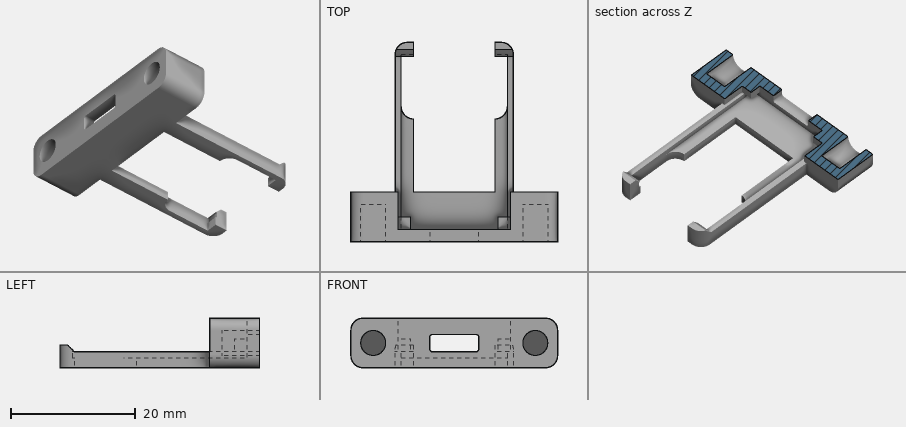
import cadquery as cq

BASE_WIDTH = 33.2
BASE_DEPTH = 8.0
BASE_HEIGHT = 8.0
BASE_EDGE_RADIUS = 2.0
WALL_THICKNESS = 2.0

HOLE_DIAMETER = 4.0
HOLE_SPACING = 26.0
HOLE_DEPTH = 6.0

BOARD_WIDTH = 17.0
BOARD_LENGTH = 28.0
BOARD_THICKNESS = 1.0
LEDGE_TOP = 1.6
BOARD_TOP = LEDGE_TOP + BOARD_THICKNESS
BOARD_END = WALL_THICKNESS + BOARD_LENGTH

WINDOW_WIDTH = 7.8
WINDOW_HEIGHT = 2.75
WINDOW_CORNER_RADIUS = 0.4

RECESS_WIDTH = 18.0
TAB_SIZE = 2.0
TAB_HEIGHT = 2.0

ARM_THICKNESS = 1.0
ARM_OUTER = BOARD_WIDTH / 2 + ARM_THICKNESS
ARM_END = 32.0
LEDGE_WIDTH = 2.0
LEDGE_INNER = BOARD_WIDTH / 2 - LEDGE_WIDTH
LEDGE_END = 21.7
LEDGE_END_RADIUS = LEDGE_WIDTH
HOOK_FRONT = 29.7
HOOK_CHAMFER = 1.1
HOOK_TOP = BOARD_TOP + HOOK_CHAMFER
HOOK_CORNER_RADIUS = 2.0


def box(x_min, x_max, y_min, y_max, z_min, z_max):
    """Box between the given limits."""
    size = (x_max - x_min, y_max - y_min, z_max - z_min)
    return cq.Workplane("XY").box(*size, centered=False).translate((x_min, y_min, z_min))


def centered_box(width, y_min, y_max, z_min, z_max):
    """Box that is symmetric about the YZ plane."""
    return box(-width / 2, width / 2, y_min, y_max, z_min, z_max)


def make_base():
    """Rounded block with the board recess, connector window and blind holes."""
    base = centered_box(BASE_WIDTH, 0, BASE_DEPTH, 0, BASE_HEIGHT)
    base = base.edges("|Y").fillet(BASE_EDGE_RADIUS)

    board_space = centered_box(BOARD_WIDTH, WALL_THICKNESS, BASE_DEPTH, LEDGE_TOP, BASE_HEIGHT)
    recess = centered_box(RECESS_WIDTH, WALL_THICKNESS, BASE_DEPTH, BOARD_TOP, BASE_HEIGHT)
    window = centered_box(
        WINDOW_WIDTH, 0, WALL_THICKNESS, BOARD_TOP, BOARD_TOP + WINDOW_HEIGHT
    )
    window = window.edges("|Y").fillet(WINDOW_CORNER_RADIUS)
    holes = (
        cq.Workplane("XZ")
        .pushPoints([(-HOLE_SPACING / 2, BASE_HEIGHT / 2), (HOLE_SPACING / 2, BASE_HEIGHT / 2)])
        .circle(HOLE_DIAMETER / 2)
        .extrude(-HOLE_DEPTH)
    )
    return base.cut(board_space).cut(recess).cut(window).cut(holes)


def make_tab():
    """Tab in the +X corner of the recess, just above the board."""
    recess_side = RECESS_WIDTH / 2
    return box(
        recess_side - TAB_SIZE,
        recess_side,
        WALL_THICKNESS,
        WALL_THICKNESS + TAB_SIZE,
        BOARD_TOP,
        BOARD_TOP + TAB_HEIGHT,
    )


def make_ledge():
    """Board support along the +X arm, ending in a concave quarter round."""
    arm_inner = BOARD_WIDTH / 2
    ledge = box(LEDGE_INNER, arm_inner, BASE_DEPTH, LEDGE_END, 0, LEDGE_TOP)
    scoop = (
        cq.Workplane("XY")
        .center(LEDGE_INNER, LEDGE_END)
        .circle(LEDGE_END_RADIUS)
        .extrude(LEDGE_TOP)
    )
    return ledge.cut(scoop)


def make_hook():
    """Snap hook at the end of the +X arm, with a lead-in and a groove for the board end."""
    profile = [
        (HOOK_FRONT, 0),
        (ARM_END, 0),
        (ARM_END, HOOK_TOP),
        (HOOK_FRONT + HOOK_CHAMFER, HOOK_TOP),
        (HOOK_FRONT, BOARD_TOP),
    ]
    hook = (
        cq.Workplane("YZ", origin=(LEDGE_INNER, 0, 0))
        .polyline(profile)
        .close()
        .extrude(ARM_OUTER - LEDGE_INNER)
    )
    hook = hook.edges("|Z and >X and >Y").fillet(HOOK_CORNER_RADIUS)
    groove = box(LEDGE_INNER, BOARD_WIDTH / 2, HOOK_FRONT, BOARD_END, LEDGE_TOP, BOARD_TOP)
    return hook.cut(groove)


def make_arm():
    """Complete +X arm with its ledge and hook."""
    arm = box(BOARD_WIDTH / 2, ARM_OUTER, BASE_DEPTH, HOOK_FRONT, 0, BOARD_TOP)
    return arm.union(make_ledge()).union(make_hook())


result = make_base()
for side_feature in (make_tab(), make_arm()):
    result = result.union(side_feature).union(side_feature.mirror("YZ"))